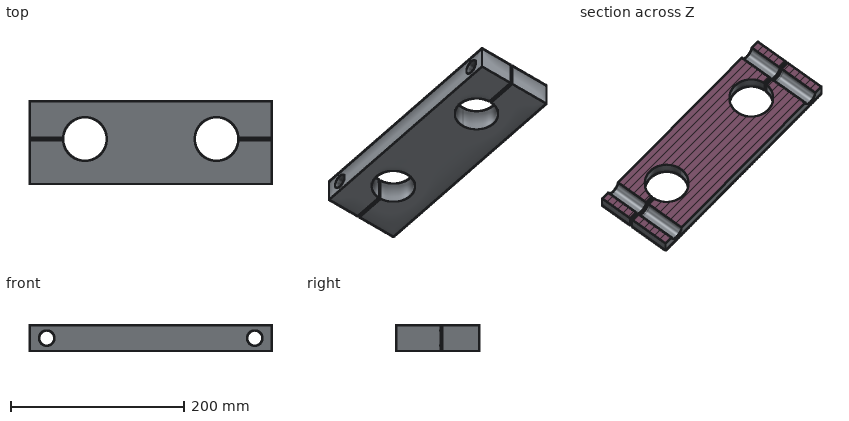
import cadquery as cq

length = 280.0
width = 96.0
thickness = 30.0

bore_diameter = 50.0
bore_spacing = 152.0
bore_y = 4.2

slit_width = 2.5

screw_hole_diameter = 17.5
screw_hole_spacing = 240.2


def cut_bore_and_slit(body, side):
    """Cut one through bore and its slit; side is -1 for -X, +1 for +X."""
    bore_x = side * bore_spacing / 2
    bore = cq.Workplane("XY").center(bore_x, bore_y).circle(bore_diameter / 2).extrude(thickness / 2, both=True)
    slit_length = length / 2 - bore_spacing / 2
    slit_x = bore_x + side * slit_length / 2
    slit = cq.Workplane("XY").box(slit_length, slit_width, thickness).translate((slit_x, bore_y, 0))
    return body.cut(bore).cut(slit)


def cut_screw_hole(body, side):
    """Cut one screw hole along Y, crossing the slit at mid thickness."""
    hole = (
        cq.Workplane("XZ")
        .center(side * screw_hole_spacing / 2, 0)
        .circle(screw_hole_diameter / 2)
        .extrude(width / 2, both=True)
    )
    return body.cut(hole)


result = cq.Workplane("XY").box(length, width, thickness)
for end in (-1, 1):
    result = cut_bore_and_slit(result, end)
    result = cut_screw_hole(result, end)